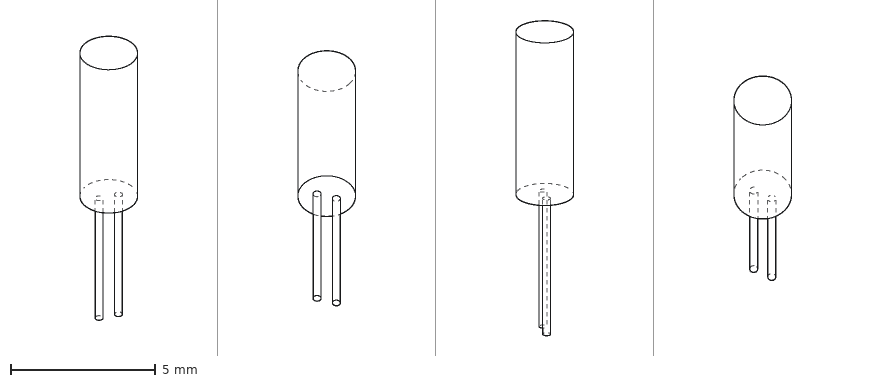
import cadquery as cq

total_height = 11.2

can_diameter = 2.0
can_height = 6.1

lead_diameter = 0.28
lead_spacing = 0.7
lead_length = total_height - can_height


def make_can():
    """Plain upright cylinder with its base at Z = 0."""
    return cq.Workplane("XY").circle(can_diameter / 2).extrude(can_height)


def make_lead(y_position):
    """Round wire hanging down from the base of the can."""
    return (
        cq.Workplane("XY")
        .center(0, y_position)
        .circle(lead_diameter / 2)
        .extrude(-lead_length)
    )


can = make_can()
leads = [make_lead(side * lead_spacing / 2) for side in (-1, 1)]

result = cq.Compound.makeCompound([can.val(), *[lead.val() for lead in leads]])